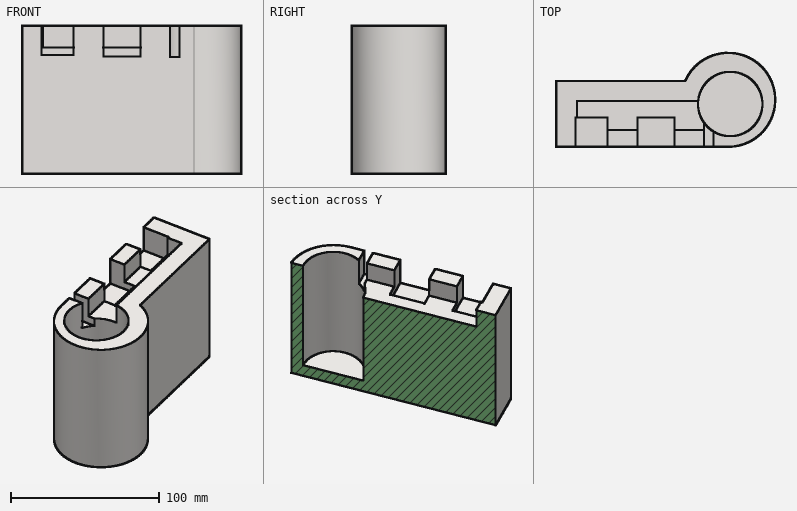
import cadquery as cq

length = 148.0
height = 100.0
barrel_diameter = 63.6
barrel_radius = barrel_diameter / 2
barrel_x = length - barrel_radius
barrel_y = barrel_radius
block_depth = 44.5

bore_diameter = 43.5
bore_x = 117.5
bore_y = 29.0
bore_floor = 10.0

pocket_left = 14.0
pocket_front = 11.4
pocket_back = 31.0
pocket_depth = 14.8

notch_reach = 19.8
notches = [
    (13.0, 34.8, 19.7),
    (54.9, 80.0, 20.7),
    (99.9, 106.0, 21.0),
]


def box_from_top(left, right, front, back, depth):
    """Box that hangs down from the top face by the given depth."""
    return (
        cq.Workplane("XY")
        .box(right - left, back - front, depth, centered=False)
        .translate((left, front, height - depth))
    )


def make_body():
    block = cq.Workplane("XY").box(barrel_x, block_depth, height, centered=False)
    barrel = (
        cq.Workplane("XY")
        .center(barrel_x, barrel_y)
        .circle(barrel_radius)
        .extrude(height)
    )
    return block.union(barrel)


def make_bore():
    return (
        cq.Workplane("XY", origin=(bore_x, bore_y, bore_floor))
        .circle(bore_diameter / 2)
        .extrude(height - bore_floor)
    )


result = make_body().cut(make_bore())
result = result.cut(box_from_top(pocket_left, bore_x, pocket_front, pocket_back, pocket_depth))
for notch_left, notch_right, notch_depth in notches:
    result = result.cut(box_from_top(notch_left, notch_right, 0, notch_reach, notch_depth))